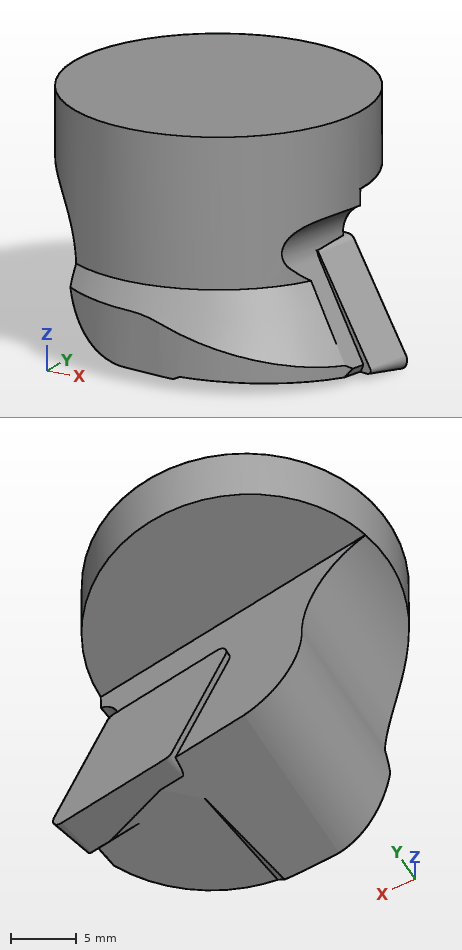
import cadquery as cq
import math

shank_diameter = 25.0
shank_radius = shank_diameter / 2
shank_depth = 12.28
total_length = 29.37
total_height = 20.0
margin = 29.37

flare_angle = 30.0
foot_radius = 13.05
foot_flat_left = 0.3
foot_flat_right = 2.95
foot_front_y = -13.6

chip_arc_start = (-12.5, -5.08)
chip_arc_middle = (-7.93, -7.7)
leg_left = (-6.08, -12.75)
heel_middle = (-4.43, -16.8)
heel_end = (-0.6, -18.8)
toe = (17.62, -19.75)

ledge_z = -5.67
ledge_slope = 0.046

rake_slope_x = 0.105
rake_slope_z = 0.035
leg_face_y = 1.82

flank_y = -6.45
groove_radius = 5.25 / 2
groove_center = (12.78, -9.7)
nose_chamfer_start = (14.92, -18.55)
nose_chamfer_end = (14.68, -19.15)

relief_end = (5.43, -19.0)
ramp_end = (4.7, -19.35)

nose_angle = 55.0
side_lead = 2.9
side_length = 11.63
nose_radius = 0.8
insert_thickness = 3.96
relief_angle = 7.0
insert_nose_y = 0.03
nose_center_x = total_length - shank_radius - nose_radius
nose_center_z = nose_radius - total_height


def rake_plane(x, y, z):
    """Plane parallel to the rake face; its normal points into the leg."""
    return cq.Plane(
        origin=(x, y, z),
        xDir=(1, -rake_slope_x, 0),
        normal=(-rake_slope_x, -1, rake_slope_z),
    )


def make_foot():
    """Cone flaring out of the shank, trimmed to two round ends tangent to a front flat."""
    depth = total_height - shank_depth
    end_radius = shank_radius + depth * math.tan(math.radians(flare_angle))
    cone = cq.Workplane(cq.Solid.makeCone(end_radius, shank_radius, depth)).translate((0, 0, -total_height))
    flat_length = foot_flat_right - foot_flat_left
    trim_center = ((foot_flat_left + foot_flat_right) / 2, foot_front_y + foot_radius)
    trim = (
        cq.Workplane("XY", origin=(*trim_center, -total_height))
        .slot2D(flat_length + 2 * foot_radius, 2 * foot_radius)
        .extrude(depth)
    )
    return cone.intersect(trim)


def make_leg_outline():
    """Front outline of the shank and leg, extruded along Y."""
    return (
        cq.Workplane("XZ", origin=(0, margin, 0))
        .moveTo(chip_arc_start[0], 0)
        .lineTo(*chip_arc_start)
        .threePointArc(chip_arc_middle, leg_left)
        .threePointArc(heel_middle, heel_end)
        .lineTo(*toe)
        .lineTo(toe[0], 0)
        .close()
        .extrude(2 * margin)
    )


def make_rear_space():
    """Everything behind the rake face and below the ledge."""
    below_ledge = (
        cq.Workplane("XZ", origin=(0, margin, 0))
        .moveTo(-margin, ledge_z + ledge_slope * margin)
        .lineTo(margin, ledge_z - ledge_slope * margin)
        .lineTo(margin, -margin)
        .lineTo(-margin, -margin)
        .close()
        .extrude(2 * margin)
    )
    behind_face = cq.Workplane(rake_plane(0, leg_face_y, 0)).rect(4 * margin, 4 * margin).extrude(-margin)
    return below_ledge.intersect(behind_face)


def make_flank_space():
    """Space right of and below the leg (groove, flat, nose, relief), square to the rake face."""
    slope = math.radians(180 - nose_angle - side_lead)
    tangent = (
        groove_center[0] - groove_radius * math.sin(slope),
        groove_center[1] + groove_radius * math.cos(slope),
    )
    groove_left = (groove_center[0] - groove_radius, groove_center[1])
    groove_top = (groove_center[0], groove_center[1] + groove_radius)
    return (
        cq.Workplane(rake_plane(0, flank_y, 0))
        .moveTo(*groove_top)
        .threePointArc(groove_left, tangent)
        .lineTo(*nose_chamfer_start)
        .lineTo(*nose_chamfer_end)
        .lineTo(*relief_end)
        .lineTo(*ramp_end)
        .lineTo(ramp_end[0], -margin)
        .lineTo(margin, -margin)
        .lineTo(margin, groove_top[1])
        .close()
        .extrude(margin / 2, both=True)
    )


def make_insert():
    """Rhombic insert with rounded corners and relieved sides."""
    lower = math.radians(180 - side_lead)
    upper = lower - math.radians(nose_angle)
    bisector = (lower + upper) / 2
    corner_reach = nose_radius / math.sin(math.radians(nose_angle / 2))
    corner = (-corner_reach * math.cos(bisector), -corner_reach * math.sin(bisector))
    lower_side = (side_length * math.cos(lower), side_length * math.sin(lower))
    upper_side = (side_length * math.cos(upper), side_length * math.sin(upper))
    outline = [
        corner,
        (corner[0] + lower_side[0], corner[1] + lower_side[1]),
        (corner[0] + lower_side[0] + upper_side[0], corner[1] + lower_side[1] + upper_side[1]),
        (corner[0] + upper_side[0], corner[1] + upper_side[1]),
    ]
    sketch = cq.Sketch().polygon(outline + [corner]).vertices().fillet(nose_radius)
    plane = rake_plane(nose_center_x, insert_nose_y, nose_center_z)
    return cq.Workplane(plane).placeSketch(sketch).extrude(insert_thickness, taper=relief_angle)


def make_holder(insert):
    shank = cq.Workplane("XY").circle(shank_radius).extrude(-shank_depth)
    blank = shank.union(make_foot()).intersect(make_leg_outline())
    return blank.cut(make_rear_space()).cut(make_flank_space()).cut(insert)


insert = make_insert()
holder = make_holder(insert)
result = cq.Compound.makeCompound([holder.val(), insert.val()])